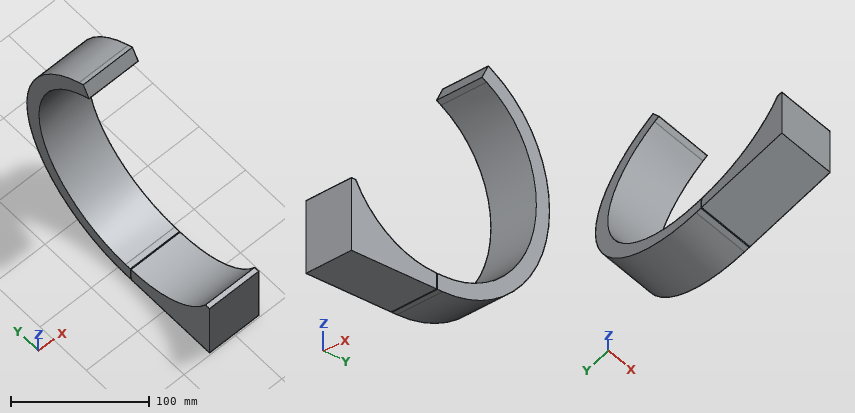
import cadquery as cq
import math

width = 48.0
total_length = 197.1
total_height = 203.0
wall = 13.2
tip_length = 5.0
sweep = 152.0
joint_gap = 0.8
base_height = 59.9
cradle_radius = 92.4

sweep_sine = math.sin(math.radians(sweep))
sweep_cosine = math.cos(math.radians(sweep))
outer_radius = (total_height - tip_length * sweep_sine) / (1 - sweep_cosine)
inner_radius = outer_radius - wall
bottom = -outer_radius
hook_end = -tip_length
base_start = hook_end - joint_gap
base_end = outer_radius - total_length


def arc_point(radius, angle):
    """Point (Y, Z) on the hook's arc, with the angle counted from the bottom."""
    turn = math.radians(angle)
    return radius * math.sin(turn), -radius * math.cos(turn)


def tip_point(radius):
    """Point (Y, Z) at the end of the tangent straight run above the arc."""
    y, z = arc_point(radius, sweep)
    return y + tip_length * sweep_cosine, z + tip_length * sweep_sine


def profile(y, z):
    """Start an outline in the YZ plane, centred across the width."""
    return cq.Workplane("YZ").moveTo(y, z)


def make_hook():
    """C-shaped strap of constant thickness with a short straight run at each end."""
    return (
        profile(hook_end, -outer_radius)
        .lineTo(0, -outer_radius)
        .threePointArc(arc_point(outer_radius, sweep / 2), arc_point(outer_radius, sweep))
        .lineTo(*tip_point(outer_radius))
        .lineTo(*tip_point(inner_radius))
        .lineTo(*arc_point(inner_radius, sweep))
        .threePointArc(arc_point(inner_radius, sweep / 2), (0, -inner_radius))
        .lineTo(hook_end, -inner_radius)
        .close()
        .extrude(width / 2, both=True)
    )


def make_base():
    """Flat-bottomed block whose cradle leaves the joint level with the hook."""
    rise = base_height - wall
    cradle_angle = math.acos(1 - rise / cradle_radius)
    cradle_end = base_start - cradle_radius * math.sin(cradle_angle)
    cradle_middle = (
        base_start - cradle_radius * math.sin(cradle_angle / 2),
        cradle_radius * (1 - math.cos(cradle_angle / 2)) - inner_radius,
    )
    top = bottom + base_height
    return (
        profile(base_start, bottom)
        .lineTo(base_start, -inner_radius)
        .threePointArc(cradle_middle, (cradle_end, top))
        .lineTo(base_end, top)
        .lineTo(base_end, bottom)
        .close()
        .extrude(width / 2, both=True)
    )


hook = make_hook()
base = make_base()

result = cq.Compound.makeCompound([hook.val(), base.val()])